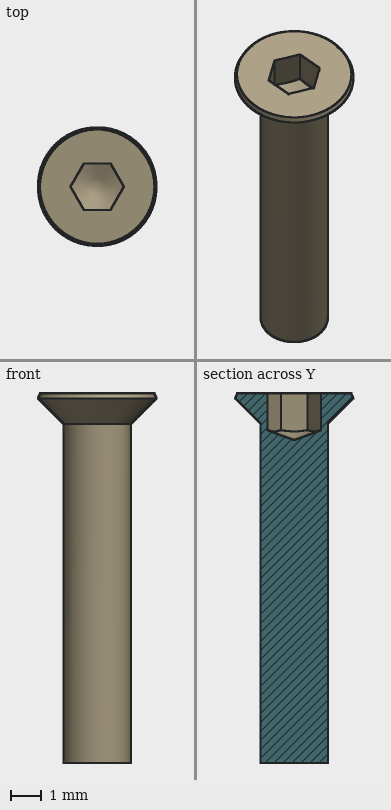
import cadquery as cq
import math

total_length = 12.0
shank_diameter = 2.2
head_diameter = 3.85
head_height = 1.0
top_face_diameter = 3.71
socket_across_flats = 1.5
socket_depth = 1.2
socket_tip_angle = 140.0

shank_radius = shank_diameter / 2
head_radius = head_diameter / 2
head_base_z = total_length - head_height
rim_z = head_base_z + head_radius - shank_radius


def make_body():
    """Shank and countersunk head with a bevelled rim, revolved about Z."""
    return (
        cq.Workplane("XZ")
        .lineTo(shank_radius, 0)
        .lineTo(shank_radius, head_base_z)
        .lineTo(head_radius, rim_z)
        .lineTo(top_face_diameter / 2, total_length)
        .lineTo(0, total_length)
        .close()
        .revolve(360, (0, 0, 0), (0, 1, 0))
    )


def make_socket():
    """Hexagonal recess with two corners on the X axis and a conical bottom.

    The cone starts at the hexagon corners, so the middle of each flat runs a little deeper.
    """
    corner_radius = socket_across_flats / 2 / math.cos(math.pi / 6)
    tip_depth = corner_radius / math.tan(math.radians(socket_tip_angle / 2))
    wall_end_z = total_length - socket_depth
    tip_z = wall_end_z - tip_depth
    hexagon = (
        cq.Workplane("XY")
        .workplane(offset=tip_z)
        .polygon(6, 2 * corner_radius)
        .extrude(total_length - tip_z)
    )
    drilled_hole = (
        cq.Workplane("XZ")
        .moveTo(0, tip_z)
        .lineTo(corner_radius, wall_end_z)
        .lineTo(corner_radius, total_length)
        .lineTo(0, total_length)
        .close()
        .revolve(360, (0, 0, 0), (0, 1, 0))
    )
    return hexagon.intersect(drilled_hole)


result = make_body().cut(make_socket())